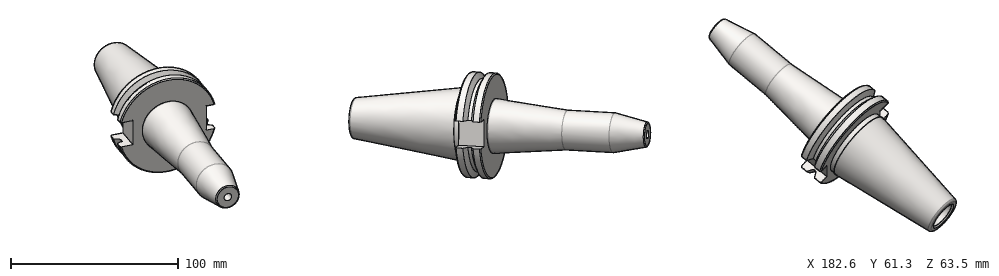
import cadquery as cq
import math


overall_length = 182.63
gauge_x = 68.33
gauge_diameter = 44.45
taper_rate = 7 / 24
small_end_diameter = gauge_diameter - taper_rate * gauge_x
small_end_fillet = 1.4
neck_diameter = 43.69

flange_x = gauge_x + 3.18
flange_width = 15.87
flange_end_x = flange_x + flange_width
flange_diameter = 63.5
flange_chamfer = 0.7
groove_diameter = 56.3
groove_floor_width = 2.2
groove_center_x = gauge_x + 11.25
groove_half_angle = 30

slot_width = 16.45
front_slot_floor = 22.6
back_slot_floor = 25.0

nose_base_diameter = 33.0
nose_collar_length = 0.5
nose_diameter = 24.0
nose_straight_x = 132.6
tip_x = 162.0
tip_diameter = 15.0
tip_chamfer = 0.6

mouth_diameter = 18.3
counterbore_diameter = 16.26
mouth_depth = (mouth_diameter - counterbore_diameter) / 2
counterbore_depth = 7.6
thread_bore_diameter = 13.39
thread_bore_depth = 28.0
channel_diameter = 6.29
tool_bore_diameter = 4.76
tool_bore_length = 40.0


def revolve_about_x(profile):
    return profile.close().revolve(360, (0, 0, 0), (1, 0, 0))


def make_shank():
    profile = (
        cq.Workplane("XY")
        .moveTo(0, 0)
        .lineTo(0, small_end_diameter / 2)
        .lineTo(gauge_x, gauge_diameter / 2)
        .lineTo(gauge_x, neck_diameter / 2)
        .lineTo(flange_x, neck_diameter / 2)
        .lineTo(flange_x, 0)
    )
    return revolve_about_x(profile).faces("<X").edges().fillet(small_end_fillet)


def make_flange():
    outer_radius = flange_diameter / 2
    groove_radius = groove_diameter / 2
    half_floor = groove_floor_width / 2
    flank_run = (outer_radius - groove_radius) * math.tan(math.radians(groove_half_angle))
    half_mouth = half_floor + flank_run
    profile = (
        cq.Workplane("XY")
        .moveTo(flange_x, 0)
        .lineTo(flange_x, outer_radius - flange_chamfer)
        .lineTo(flange_x + flange_chamfer, outer_radius)
        .lineTo(groove_center_x - half_mouth, outer_radius)
        .lineTo(groove_center_x - half_floor, groove_radius)
        .lineTo(groove_center_x + half_floor, groove_radius)
        .lineTo(groove_center_x + half_mouth, outer_radius)
        .lineTo(flange_end_x - flange_chamfer, outer_radius)
        .lineTo(flange_end_x, outer_radius - flange_chamfer)
        .lineTo(flange_end_x, 0)
    )
    return revolve_about_x(profile)


def make_nose():
    profile = (
        cq.Workplane("XY")
        .moveTo(flange_end_x, 0)
        .lineTo(flange_end_x, nose_base_diameter / 2)
        .lineTo(flange_end_x + nose_collar_length, nose_base_diameter / 2)
        .lineTo(nose_straight_x, nose_diameter / 2)
        .lineTo(tip_x, nose_diameter / 2)
        .lineTo(overall_length, tip_diameter / 2)
        .lineTo(overall_length, 0)
    )
    return revolve_about_x(profile).faces(">X").edges().chamfer(tip_chamfer)


def make_key_slot(side, floor_distance):
    """Slot block on the given Y side (+1 or -1), reaching past the flange rim."""
    depth = flange_diameter / 2
    return (
        cq.Workplane("XY")
        .box(flange_width, depth, slot_width)
        .translate((flange_x + flange_width / 2, side * (floor_distance + depth / 2), 0))
    )


def make_bore():
    profile = (
        cq.Workplane("XY")
        .moveTo(0, 0)
        .lineTo(0, mouth_diameter / 2)
        .lineTo(mouth_depth, counterbore_diameter / 2)
        .lineTo(counterbore_depth, counterbore_diameter / 2)
        .lineTo(counterbore_depth, thread_bore_diameter / 2)
        .lineTo(thread_bore_depth, thread_bore_diameter / 2)
        .lineTo(thread_bore_depth, channel_diameter / 2)
        .lineTo(overall_length - tool_bore_length, channel_diameter / 2)
        .lineTo(overall_length - tool_bore_length, tool_bore_diameter / 2)
        .lineTo(overall_length, tool_bore_diameter / 2)
        .lineTo(overall_length, 0)
    )
    return revolve_about_x(profile)


result = (
    make_shank()
    .union(make_flange())
    .union(make_nose())
    .cut(make_key_slot(-1, front_slot_floor))
    .cut(make_key_slot(1, back_slot_floor))
    .cut(make_bore())
)